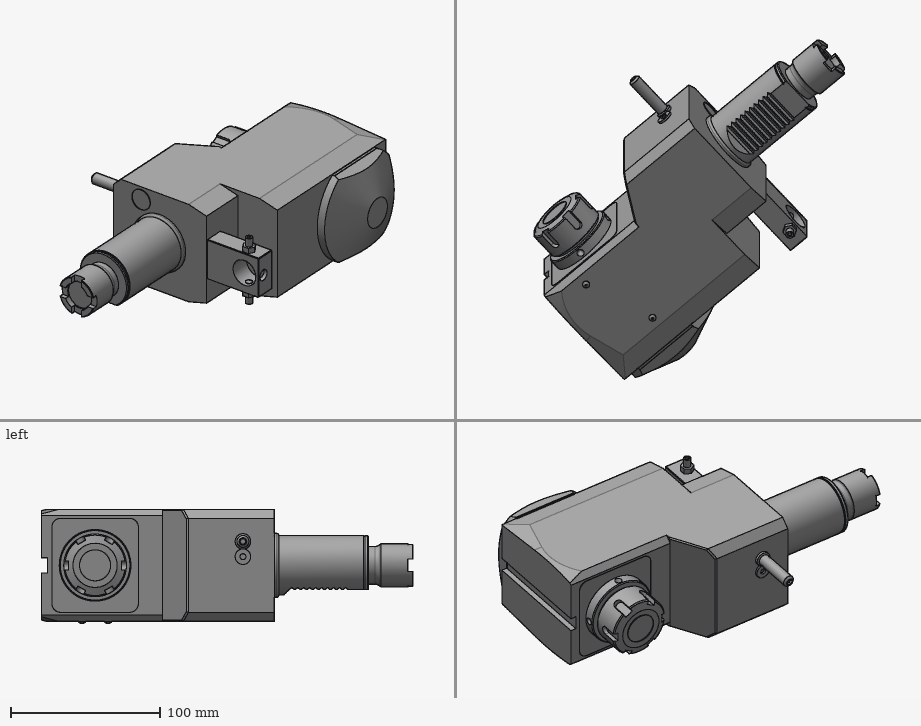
import math

import cadquery as cq


HALF_HEIGHT = 37.5
LEFT_X = -39.0
RIGHT_X = 39.0
HEAD_LEFT_X = -9.0
HEAD_RIGHT_X = 72.0
HEAD_FRONT_Y = 35.0
BACK_Y = 156.0
SLOPE_OUTER_Y = 58.5
SLOPE_INNER_Y = 75.0
BASE_CHAMFER = 6.0
HEAD_CHAMFER = 4.25
SLOPE_EDGE_CHAMFER = 0.9
BEVEL_ANGLE = 15.0
BEVEL_WIDTH = 15.0
BEVEL_DROP = BEVEL_WIDTH * math.tan(math.radians(BEVEL_ANGLE))

BACK_BEVEL_X = 20.5
BACK_BEVEL_RADIUS = 41.5
BACK_BEVEL_CREST_Y = 152.8
BACK_BEVEL_Y = BACK_BEVEL_CREST_Y - BACK_BEVEL_RADIUS
BACK_BEVEL_TANGENT_ANGLE = 73.5
BACK_BEVEL_DEPTH = 6.0

BACK_SLOT_WIDTH = 10.0
BACK_SLOT_DEPTH = 4.0

SPINDLE_Y = 120.0
PAD_WIDTH = 58.0
PAD_HEIGHT = 63.0
PAD_CORNER = 6.0
PAD_RAISE = 0.2
COLLAR_RADIUS = 24.0
COLLAR_END_X = -16.8
COLLAR_CHAMFER = 0.7
COLLAR_HOLE_X = -12.9
COLLAR_HOLE_DIAMETER = 5.0
COLLAR_HOLE_DEPTH = 3.5
COLLAR_HOLES = 4
GROOVE_RADIUS = 19.5
NUT_RADIUS = 21.0
NUT_BACK_X = -18.6
NUT_END_X = -39.2
NUT_SHOULDER_X = -37.4
NUT_SHOULDER_RADIUS = 20.2
NUT_RIM_X = -36.6
NUT_FACE_RADIUS = 14.8
COLLET_RADIUS = 10.4
COLLET_RECESS = 0.6
NUT_SLOTS = 6
NUT_SLOT_WIDTH = 6.0
NUT_SLOT_END_X = -24.5
NUT_SLOT_FLOOR_RADIUS = 17.8

CAP_RADIUS = 40.5
CAP_RIM_X = 78.1
CAP_END_X = 92.0
CAP_END_RADIUS = 11.0
CAP_BACK_Y = 151.5
CAP_STEP_X = 73.8
CAP_STEP_DEPTH = 0.3

FLANGE_RADIUS = 21.5
FLANGE_ROUND_START_Y = -1.5
SHANK_RADIUS = 20.0
SHANK_END_Y = -63.0
SHANK_CHAMFER = 0.7
SHANK_GROOVE_Y = -59.8
SHANK_GROOVE_WIDTH = 0.8
SHANK_GROOVE_DEPTH = 0.4
NECK_RADIUS = 12.7
NECK_END_Y = -67.3
DRIVE_RADIUS = 14.6
DRIVE_START_Y = -70.8
DRIVE_END_Y = -93.0
DRIVE_RIM = 0.5
DRIVE_BORE_RADIUS = 10.0
DRIVE_SLOT_WIDTH = 8.2
DRIVE_SLOT_DEPTH = 3.5
DRIVE_BORE_DEPTH = 4.5

FLAT_Z = -16.2
FLAT_START_Y = -10.0
FLAT_RAMP_Y = FLAT_START_Y + SHANK_RADIUS + FLAT_Z
TOOTH_COUNT = 10
TOOTH_PITCH = 4.0
TOOTH_FIRST_Y = -11.7
TOOTH_GROOVE_WIDTH = 3.2
TOOTH_DEPTH = 1.3

ARM_END_X = 82.0
ARM_FRONT_Y = 1.0
ARM_BACK_Y = 16.0
ARM_HALF_HEIGHT = 15.0
ARM_EDGE_CHAMFER = 0.5
ARM_BORE_X = 70.0
ARM_BORE_RADIUS = 9.5
ARM_SCREW_Y = 6.2
ARM_SCREW_DIAMETER = 5.0
ARM_SCREW_END_Z = 25.2
ARM_NUT_FLATS = 8.0
ARM_NUT_HEIGHT = 4.0
ARM_SCREW_TIP_Z = 9.0
ARM_SCREW_SOCKET_FLATS = 2.5
ARM_SCREW_SOCKET_DEPTH = 2.0
ARM_END_HOLE_DIAMETER = 8.0

PIN_Y = 21.0
PIN_Z = 16.0
PIN_RADIUS = 4.0
PIN_END_X = -71.5
PIN_TIP_CHAMFER = 1.5
PIN_TIP_SOCKET_FLATS = 3.5
PIN_TIP_SOCKET_DEPTH = 2.0
PIN_COLLAR_RADIUS = 5.2
PIN_COLLAR_X = -41.5
PIN_COLLAR_STRAIGHT = 0.7
PLUG_Z = 5.8
PLUG_RADIUS = 5.2
PLUG_HEIGHT = 1.5
PLUG_HOLE_DIAMETER = 4.0

RECESS_X = -16.0
RECESS_Z = 27.4
RECESS_RADIUS = 7.6
RECESS_DEPTH = 0.5

NIPPLE_PLACES = [(2.6, 128.7), (50.0, 111.3)]
NIPPLE_RADIUS = 2.4
NIPPLE_TIP_RADIUS = 0.6
NIPPLE_HEIGHT = 1.6
NIPPLE_RIM = 0.5

OVERLAP = 1.0
CLEARANCE = 5.0


def box(x0, x1, y0, y1, z0, z1):
    """Box between opposite corners."""
    return cq.Workplane("XY").box(x1 - x0, y1 - y0, z1 - z0, centered=False).translate((x0, y0, z0))


def hexagon(plane, across_flats):
    """Regular hexagon sketch about the origin."""
    return cq.Workplane(plane).polygon(6, across_flats / math.cos(math.radians(30)))


def turned_about_y(profile):
    """Solid of revolution about the Y axis from a closed (radius, y) profile."""
    return profile.revolve(360, (0, 0, 0), (0, 1, 0))


def turned_about_x(points, y, z=0.0):
    """Solid of revolution about the line parallel to X through (y, z), from (x, radius) points."""
    turned = cq.Workplane("XY").polyline(points).close().revolve(360, (0, 0, 0), (1, 0, 0))
    return turned.translate((0, y, z))


def chamfered_prism(left_x, right_x, chamfer, front_y, back_y):
    """Prism along Y with 45 degree chamfers on the left and shallow bevels on the right."""
    half_section = [
        (left_x, HALF_HEIGHT - chamfer),
        (left_x + chamfer, HALF_HEIGHT),
        (right_x - BEVEL_WIDTH, HALF_HEIGHT),
        (right_x, HALF_HEIGHT - BEVEL_DROP),
    ]
    section = half_section + [(x, -z) for x, z in reversed(half_section)]
    prism = cq.Workplane("XZ").polyline(section).close().extrude(front_y - back_y)
    return prism.translate((0, front_y, 0))


def make_base():
    """Lower housing with its sloping shoulder, whose outer edges are broken."""
    base = chamfered_prism(LEFT_X, RIGHT_X, BASE_CHAMFER, 0, SLOPE_INNER_Y)
    shoulder = (
        cq.Workplane("XY")
        .polyline([(LEFT_X, SLOPE_OUTER_Y), (HEAD_LEFT_X, SLOPE_INNER_Y), (LEFT_X, SLOPE_INNER_Y)])
        .close()
        .extrude(2 * HALF_HEIGHT)
        .translate((0, 0, -HALF_HEIGHT))
    )
    slope_normal = cq.Vector(SLOPE_OUTER_Y - SLOPE_INNER_Y, HEAD_LEFT_X - LEFT_X, 0)
    base = base.cut(shoulder)
    slope = base.faces(cq.selectors.ParallelDirSelector(slope_normal))
    inner_edge = cq.selectors.DirectionMinMaxSelector(cq.Vector(1, 0, 0), True)
    return slope.edges(cq.selectors.InverseSelector(inner_edge)).chamfer(SLOPE_EDGE_CHAMFER)


def back_bevel_cutter():
    """Material above the cone bevel: the cone turns into a tangent plane on the right."""
    angle = math.radians(BACK_BEVEL_TANGENT_ANGLE)
    middle = math.radians((BACK_BEVEL_TANGENT_ANGLE + 180) / 2)
    far_x = HEAD_RIGHT_X + CLEARANCE

    def on_arc(direction):
        return (
            BACK_BEVEL_X + BACK_BEVEL_RADIUS * math.cos(direction),
            BACK_BEVEL_Y + BACK_BEVEL_RADIUS * math.sin(direction),
        )

    tangent = on_arc(angle)
    far_y = tangent[1] - (far_x - tangent[0]) / math.tan(angle)
    kept = (
        cq.Workplane("XY")
        .moveTo(*on_arc(math.pi))
        .threePointArc(on_arc(middle), tangent)
        .lineTo(far_x, far_y)
        .lineTo(far_x, 0)
        .lineTo(on_arc(math.pi)[0], 0)
        .close()
        .extrude(-BACK_BEVEL_DEPTH, taper=BEVEL_ANGLE - 90)
        .translate((0, 0, HALF_HEIGHT))
    )
    region = box(
        HEAD_LEFT_X - OVERLAP, far_x,
        BACK_BEVEL_Y, BACK_Y + OVERLAP,
        HALF_HEIGHT - BACK_BEVEL_DEPTH, HALF_HEIGHT,
    )
    return region.cut(kept)


def make_head():
    """Upper housing with the bevelled back and the slot across the back face."""
    head = chamfered_prism(HEAD_LEFT_X, HEAD_RIGHT_X, HEAD_CHAMFER, HEAD_FRONT_Y, BACK_Y)
    cutter = back_bevel_cutter()
    slot = box(
        HEAD_LEFT_X - CLEARANCE, HEAD_RIGHT_X + CLEARANCE,
        BACK_Y - BACK_SLOT_DEPTH, BACK_Y + CLEARANCE,
        -BACK_SLOT_WIDTH / 2, BACK_SLOT_WIDTH / 2,
    )
    return head.cut(cutter).cut(cutter.mirror("XY")).cut(slot)


def make_cap():
    """Conical cap, trimmed by the housing bevels and by a flat at the back."""
    cap = turned_about_x(
        [
            (HEAD_RIGHT_X - OVERLAP, 0),
            (HEAD_RIGHT_X - OVERLAP, CAP_RADIUS),
            (CAP_RIM_X, CAP_RADIUS),
            (CAP_END_X, CAP_END_RADIUS),
            (CAP_END_X, 0),
        ],
        SPINDLE_Y,
    )
    slope = math.tan(math.radians(BEVEL_ANGLE))

    def bevel_height(x):
        return HALF_HEIGHT - BEVEL_DROP - (x - HEAD_RIGHT_X) * slope

    half_section = [
        (HEAD_RIGHT_X - OVERLAP, bevel_height(HEAD_RIGHT_X) - CAP_STEP_DEPTH),
        (CAP_STEP_X, bevel_height(CAP_STEP_X) - CAP_STEP_DEPTH),
        (CAP_STEP_X, bevel_height(CAP_STEP_X)),
        (CAP_END_X, bevel_height(CAP_END_X)),
    ]
    section = half_section + [(x, -z) for x, z in reversed(half_section)]
    envelope = cq.Workplane("XZ").polyline(section).close().extrude(-CAP_BACK_Y)
    return cap.intersect(envelope)


def make_spindle():
    """Mounting pad, collar with conical spanner holes and slotted clamping nut on the left of the head."""
    pad = (
        cq.Workplane("YZ")
        .rect(PAD_WIDTH, PAD_HEIGHT)
        .extrude(-PAD_RAISE - OVERLAP)
        .edges("|X")
        .fillet(PAD_CORNER)
        .translate((HEAD_LEFT_X + OVERLAP, SPINDLE_Y, 0))
    )
    spindle = turned_about_x(
        [
            (HEAD_LEFT_X + OVERLAP, 0),
            (HEAD_LEFT_X + OVERLAP, COLLAR_RADIUS),
            (COLLAR_END_X + COLLAR_CHAMFER, COLLAR_RADIUS),
            (COLLAR_END_X, COLLAR_RADIUS - COLLAR_CHAMFER),
            (COLLAR_END_X, GROOVE_RADIUS),
            (NUT_BACK_X, GROOVE_RADIUS),
            (NUT_BACK_X, NUT_RADIUS),
            (NUT_RIM_X, NUT_RADIUS),
            (NUT_SHOULDER_X, NUT_SHOULDER_RADIUS),
            (NUT_END_X, NUT_FACE_RADIUS),
            (NUT_END_X, COLLET_RADIUS),
            (NUT_END_X + COLLET_RECESS, COLLET_RADIUS),
            (NUT_END_X + COLLET_RECESS, 0),
        ],
        SPINDLE_Y,
    )
    axis_start = (0, SPINDLE_Y, 0)
    axis_end = (1, SPINDLE_Y, 0)

    collar_hole = (
        cq.Workplane("XZ")
        .polyline([(0, -COLLAR_HOLE_DEPTH), (COLLAR_HOLE_DIAMETER / 2, 0), (0, 0)])
        .close()
        .revolve(360, (0, 0, 0), (0, 1, 0))
        .translate((COLLAR_HOLE_X, SPINDLE_Y, COLLAR_RADIUS))
    )
    for i in range(COLLAR_HOLES):
        spindle = spindle.cut(collar_hole.rotate(axis_start, axis_end, i * 360 / COLLAR_HOLES))

    slot_length = NUT_SLOT_END_X - NUT_END_X + CLEARANCE
    nut_slot = (
        cq.Workplane("XZ")
        .center(NUT_SLOT_END_X - slot_length / 2, 0)
        .slot2D(slot_length, NUT_SLOT_WIDTH)
        .extrude(-CLEARANCE)
        .translate((0, SPINDLE_Y + NUT_SLOT_FLOOR_RADIUS, 0))
    )
    for i in range(NUT_SLOTS):
        spindle = spindle.cut(nut_slot.rotate(axis_start, axis_end, i * 360 / NUT_SLOTS))
    return pad.union(spindle)


def make_shank():
    """Flanged shank with a toothed flat, ending in a neck and a slotted drive head."""
    groove_floor = SHANK_RADIUS - SHANK_GROOVE_DEPTH
    flange_round = FLANGE_RADIUS - SHANK_RADIUS
    profile = (
        cq.Workplane("XY")
        .moveTo(0, OVERLAP)
        .lineTo(FLANGE_RADIUS, OVERLAP)
        .lineTo(FLANGE_RADIUS, FLANGE_ROUND_START_Y)
        .tangentArcPoint((SHANK_RADIUS, FLANGE_ROUND_START_Y - flange_round), relative=False)
        .lineTo(SHANK_RADIUS, SHANK_GROOVE_Y)
        .lineTo(groove_floor, SHANK_GROOVE_Y)
        .lineTo(groove_floor, SHANK_GROOVE_Y - SHANK_GROOVE_WIDTH)
        .lineTo(SHANK_RADIUS, SHANK_GROOVE_Y - SHANK_GROOVE_WIDTH)
        .lineTo(SHANK_RADIUS, SHANK_END_Y + SHANK_CHAMFER)
        .lineTo(SHANK_RADIUS - SHANK_CHAMFER, SHANK_END_Y)
        .lineTo(0, SHANK_END_Y)
        .close()
    )
    shank = turned_about_y(profile)
    flat_and_teeth = [
        (FLAT_RAMP_Y + CLEARANCE, -SHANK_RADIUS - CLEARANCE),
        (FLAT_START_Y, FLAT_Z),
    ]
    for i in range(TOOTH_COUNT):
        groove_y = TOOTH_FIRST_Y - i * TOOTH_PITCH
        flat_and_teeth += [
            (groove_y + TOOTH_GROOVE_WIDTH / 2, FLAT_Z),
            (groove_y, FLAT_Z + TOOTH_DEPTH),
            (groove_y - TOOTH_GROOVE_WIDTH / 2, FLAT_Z),
        ]
    flat_and_teeth += [
        (SHANK_END_Y - OVERLAP, FLAT_Z),
        (SHANK_END_Y - OVERLAP, -SHANK_RADIUS - CLEARANCE),
    ]
    flat = cq.Workplane("YZ").polyline(flat_and_teeth).close().extrude(SHANK_RADIUS, both=True)
    return shank.cut(flat).union(make_drive_head())


def make_drive_head():
    """Neck and drive head with a shallow bore and cross slots in its end face."""
    bore_floor_y = DRIVE_END_Y + DRIVE_BORE_DEPTH
    profile = (
        cq.Workplane("XY")
        .moveTo(0, SHANK_END_Y + OVERLAP)
        .lineTo(NECK_RADIUS, SHANK_END_Y + OVERLAP)
        .lineTo(NECK_RADIUS, NECK_END_Y)
        .tangentArcPoint((DRIVE_RADIUS - DRIVE_RIM, DRIVE_START_Y), relative=False)
        .lineTo(DRIVE_RADIUS, DRIVE_START_Y - DRIVE_RIM)
        .lineTo(DRIVE_RADIUS, DRIVE_END_Y + DRIVE_RIM)
        .lineTo(DRIVE_RADIUS - DRIVE_RIM, DRIVE_END_Y)
        .lineTo(DRIVE_BORE_RADIUS, DRIVE_END_Y)
        .lineTo(DRIVE_BORE_RADIUS, bore_floor_y)
        .lineTo(0, bore_floor_y)
        .close()
    )
    head = turned_about_y(profile)
    slot_floor_y = DRIVE_END_Y + DRIVE_SLOT_DEPTH
    reach = DRIVE_RADIUS + CLEARANCE
    half_slot = DRIVE_SLOT_WIDTH / 2
    slot = box(-reach, reach, DRIVE_END_Y - CLEARANCE, slot_floor_y, -half_slot, half_slot)
    return head.cut(slot).cut(slot.rotate((0, 0, 0), (0, 1, 0), 90))


def make_arm():
    """Bored arm on the right of the base with an end hole, and a socket screw and nut above and below."""
    arm = box(RIGHT_X - OVERLAP, ARM_END_X, ARM_FRONT_Y, ARM_BACK_Y, -ARM_HALF_HEIGHT, ARM_HALF_HEIGHT)
    arm = arm.faces(">X or >Z").edges("not(<X)").chamfer(ARM_EDGE_CHAMFER)
    bore = (
        cq.Workplane("XZ")
        .center(ARM_BORE_X, 0)
        .circle(ARM_BORE_RADIUS)
        .extrude(-ARM_BACK_Y - CLEARANCE)
    )
    end_hole = (
        cq.Workplane("YZ")
        .center(ARM_SCREW_Y, 0)
        .circle(ARM_END_HOLE_DIAMETER / 2)
        .extrude(ARM_END_X - ARM_BORE_X)
        .translate((ARM_BORE_X, 0, 0))
    )
    arm = arm.cut(bore).cut(end_hole)

    def upright(sketch, start_z, end_z):
        """Extrude a closed sketch along the screw axis."""
        return sketch.extrude(end_z - start_z).translate((ARM_BORE_X, ARM_SCREW_Y, start_z))

    nut_base_z = ARM_HALF_HEIGHT - OVERLAP
    socket_floor_z = ARM_SCREW_END_Z - ARM_SCREW_SOCKET_DEPTH
    shaft = cq.Workplane("XY").circle(ARM_SCREW_DIAMETER / 2)
    screw = (
        upright(shaft, ARM_SCREW_TIP_Z, ARM_SCREW_END_Z)
        .union(upright(hexagon("XY", ARM_NUT_FLATS), nut_base_z, ARM_HALF_HEIGHT + ARM_NUT_HEIGHT))
        .cut(upright(hexagon("XY", ARM_SCREW_SOCKET_FLATS), socket_floor_z, ARM_SCREW_END_Z))
    )
    return arm.union(screw).union(screw.mirror("XY"))


def make_pin_and_plug():
    """Chamfered pin with its collar, and the low plug below it, on the left face."""
    inner_x = LEFT_X + OVERLAP
    pin = turned_about_x(
        [
            (inner_x, 0),
            (inner_x, PIN_COLLAR_RADIUS),
            (PIN_COLLAR_X + PIN_COLLAR_STRAIGHT, PIN_COLLAR_RADIUS),
            (PIN_COLLAR_X, PIN_RADIUS),
            (PIN_END_X + PIN_TIP_CHAMFER, PIN_RADIUS),
            (PIN_END_X, PIN_RADIUS - PIN_TIP_CHAMFER),
            (PIN_END_X, 0),
        ],
        PIN_Y,
        PIN_Z,
    )
    socket = (
        hexagon("YZ", PIN_TIP_SOCKET_FLATS)
        .extrude(PIN_TIP_SOCKET_DEPTH)
        .translate((PIN_END_X, PIN_Y, PIN_Z))
    )
    plug = (
        cq.Workplane("YZ")
        .circle(PLUG_RADIUS)
        .circle(PLUG_HOLE_DIAMETER / 2)
        .extrude(PLUG_HEIGHT + OVERLAP)
        .translate((LEFT_X - PLUG_HEIGHT, PIN_Y, PLUG_Z))
    )
    return pin.cut(socket).union(plug)


def make_nipple(x, y):
    """Small cone-tipped nipple on the underside."""
    profile = [
        (0, OVERLAP),
        (NIPPLE_RADIUS, OVERLAP),
        (NIPPLE_RADIUS, -NIPPLE_RIM),
        (NIPPLE_TIP_RADIUS, -NIPPLE_HEIGHT),
        (0, -NIPPLE_HEIGHT),
    ]
    nipple = cq.Workplane("XZ").polyline(profile).close().revolve(360, (0, 0, 0), (0, 1, 0))
    return nipple.translate((x, y, -HALF_HEIGHT))


recess = (
    cq.Workplane("XZ")
    .center(RECESS_X, RECESS_Z)
    .circle(RECESS_RADIUS)
    .extrude(-RECESS_DEPTH)
)

housing = make_base().union(make_head()).cut(recess)
for piece in (make_cap(), make_spindle(), make_shank(), make_arm(), make_pin_and_plug()):
    housing = housing.union(piece)
for nipple_x, nipple_y in NIPPLE_PLACES:
    housing = housing.union(make_nipple(nipple_x, nipple_y))

result = housing